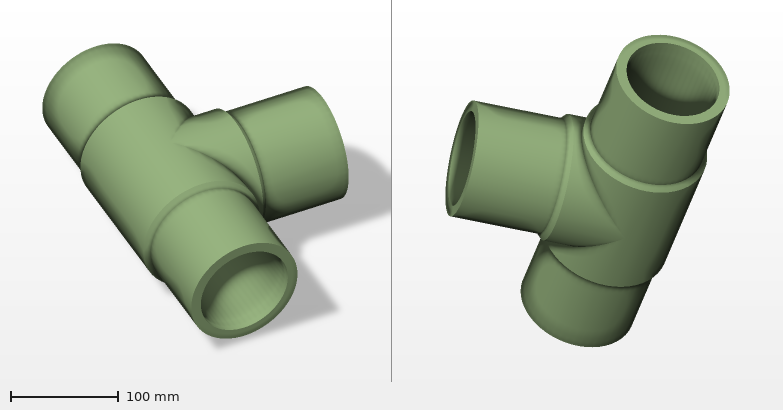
import cadquery as cq

run_length = 317.0
branch_length = 158.2
pipe_diameter = 110.0
collar_diameter = 120.0
bore_diameter = 90.0
run_collar_half_length = 72.0
branch_collar_length = 72.5

collar_chamfer = (collar_diameter - pipe_diameter) / 2

run_start = cq.Plane(origin=(-run_length / 2, 0, 0), xDir=(0, 1, 0), normal=(1, 0, 0))
collar_start = cq.Plane(origin=(-run_collar_half_length, 0, 0), xDir=(0, 1, 0), normal=(1, 0, 0))
branch_start = cq.Plane(origin=(0, 0, 0), xDir=(1, 0, 0), normal=(0, 1, 0))


def cylinder(plane, diameter, length):
    return cq.Workplane(plane).circle(diameter / 2).extrude(length)


run_pipe = cylinder(run_start, pipe_diameter, run_length)
run_collar = cylinder(collar_start, collar_diameter, 2 * run_collar_half_length)
run_collar = run_collar.faces("<X or >X").chamfer(collar_chamfer)

branch_pipe = cylinder(branch_start, pipe_diameter, branch_length)
branch_collar = cylinder(branch_start, collar_diameter, branch_collar_length)
branch_collar = branch_collar.faces(">Y").chamfer(collar_chamfer)

run_bore = cylinder(run_start, bore_diameter, run_length)
branch_bore = cylinder(branch_start, bore_diameter, branch_length)

outside = run_collar.union(branch_collar).union(run_pipe).union(branch_pipe)
result = outside.cut(run_bore.union(branch_bore))